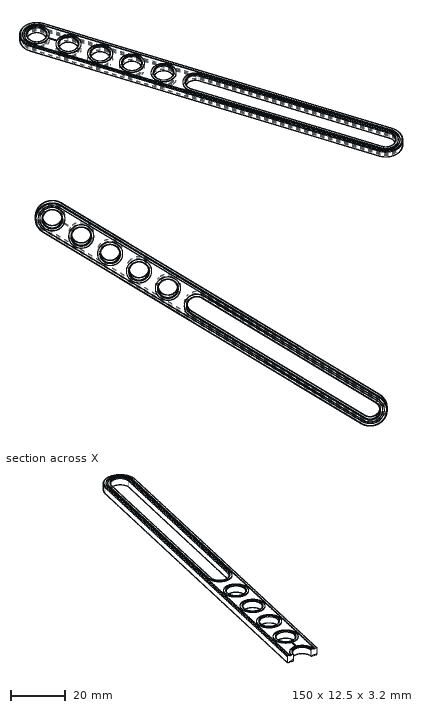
import cadquery as cq

LENGTH = 150.0
PITCH_COUNT = 12
ROUND_HOLE_COUNT = 5
THICKNESS = 3.2
RING_DIAMETER = 9.2
RIM_WIDTH = 1.08
RECESS_DEPTH = 0.25
EDGE_CHAMFER = 0.3
RIB_WIDTH = 0.2

PITCH = LENGTH / PITCH_COUNT
WIDTH = PITCH
BORE_DIAMETER = RING_DIAMETER - 2 * RIM_WIDTH
RIB_LENGTH = PITCH - BORE_DIAMETER - RIM_WIDTH
WEB_BOTTOM = RECESS_DEPTH
WEB_TOP = THICKNESS - RECESS_DEPTH

FIRST_X = (PITCH - LENGTH) / 2
LAST_X = -FIRST_X
SLOT_START_X = FIRST_X + ROUND_HOLE_COUNT * PITCH
HOLE_CENTERS = [(FIRST_X + i * PITCH, 0) for i in range(ROUND_HOLE_COUNT)]


def stadium(start_x, end_x, width, bottom, top):
    """Round-ended bar whose end arcs are centred at start_x and end_x."""
    middle_x = (start_x + end_x) / 2
    plane = cq.Workplane("XY", origin=(middle_x, 0, bottom))
    return plane.slot2D(end_x - start_x + width, width).extrude(top - bottom)


def openings(diameter):
    """Full-height plugs of one diameter at the round holes and along the slot."""
    round_plugs = cq.Workplane("XY").pushPoints(HOLE_CENTERS).circle(diameter / 2).extrude(THICKNESS)
    return round_plugs.union(stadium(SLOT_START_X, LAST_X, diameter, 0, THICKNESS))


def face_recess(bottom, top):
    """Volume removed from one face, leaving the outer border and the opening rims."""
    return stadium(FIRST_X, LAST_X, WIDTH - 2 * RIM_WIDTH, bottom, top).cut(openings(RING_DIAMETER))


def marker_rib():
    """Thin rib level with the top rims, joining the rings of the first two holes."""
    plane = cq.Workplane("XY", origin=(FIRST_X + PITCH / 2, 0, WEB_BOTTOM))
    return plane.box(RIB_LENGTH, RIB_WIDTH, THICKNESS - WEB_BOTTOM, centered=(True, True, False))


strip = stadium(FIRST_X, LAST_X, WIDTH, 0, THICKNESS).cut(openings(BORE_DIAMETER))
strip = strip.faces("<Z or >Z").edges().chamfer(EDGE_CHAMFER)
strip = strip.cut(face_recess(WEB_TOP, THICKNESS))
strip = strip.cut(face_recess(0, WEB_BOTTOM))

result = strip.union(marker_rib())